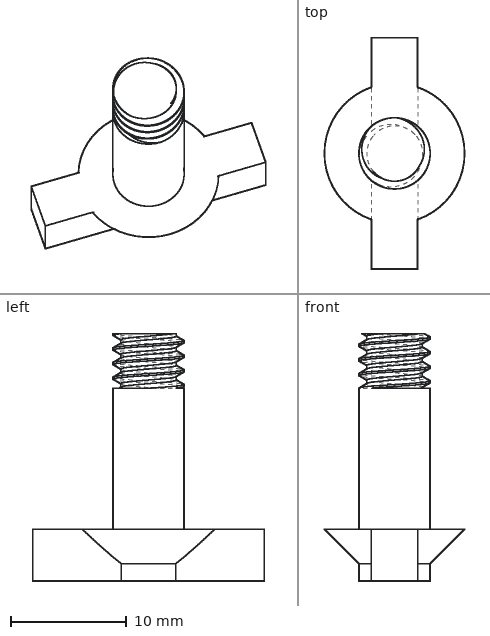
import cadquery as cq
import math

total_height = 21.4
shaft_diameter = 6.15
head_diameter = 12.13
head_height = 4.5
bar_length = 20.0
bar_width = 4.0

thread_length = 4.7
thread_pitch = 1.26
thread_root_diameter = 4.81
top_crest_depth = 0.39
flank_angle = 30.0
thread_overrun = 0.1

shaft_radius = shaft_diameter / 2
head_radius = head_diameter / 2
root_radius = thread_root_diameter / 2
cone_height = head_radius - shaft_radius
cone_bottom = head_height - cone_height
thread_bottom = total_height - thread_length


def make_turned_body():
    """Shaft and conical head as one revolved profile.

    The profile lies on the -X side, so the seam of the round faces stays clear
    of the thread groove's start on the +X side.
    """
    return (
        cq.Workplane("XZ")
        .moveTo(0, 0)
        .lineTo(-shaft_radius, 0)
        .lineTo(-shaft_radius, cone_bottom)
        .lineTo(-head_radius, head_height)
        .lineTo(-shaft_radius, head_height)
        .lineTo(-shaft_radius, total_height)
        .lineTo(0, total_height)
        .close()
        .revolve(360, (0, 0, 0), (0, 1, 0))
    )


def make_cross_bar():
    """Rectangular bar through the head along Y."""
    return cq.Workplane("XY").box(bar_width, bar_length, head_height, centered=(True, True, False))


def make_thread_groove():
    """Helical V groove with a flat root, ending squarely at the plain shaft."""
    root_half_width = thread_pitch / 8
    outer_radius = shaft_radius + thread_overrun
    flank_rise = (outer_radius - root_radius) * math.tan(math.radians(flank_angle))
    outer_half_width = root_half_width + flank_rise

    turns_below_first = math.ceil(thread_length / thread_pitch)
    turns = turns_below_first + 2
    first_groove_depth = top_crest_depth + thread_pitch / 2
    helix_start = total_height - first_groove_depth - turns_below_first * thread_pitch

    helix = cq.Wire.makeHelix(thread_pitch, turns * thread_pitch, root_radius)
    groove = (
        cq.Workplane("XZ")
        .polyline([
            (root_radius, -root_half_width),
            (outer_radius, -outer_half_width),
            (outer_radius, outer_half_width),
            (root_radius, root_half_width),
        ])
        .close()
        .sweep(cq.Workplane(obj=helix), isFrenet=True)
        .translate((0, 0, helix_start))
    )
    threaded_zone = (
        cq.Workplane("XY")
        .workplane(offset=thread_bottom)
        .circle(head_radius)
        .extrude(thread_length + thread_pitch)
    )
    return groove.intersect(threaded_zone)


result = make_turned_body().union(make_cross_bar()).cut(make_thread_groove())